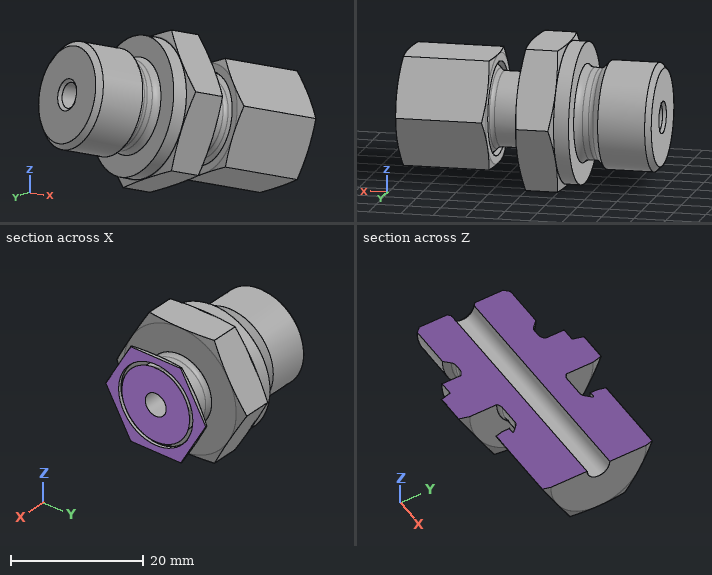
import cadquery as cq
import math

groove_start = 9.88
collar_start = 12.05
hex_start = 14.38
hex_end = 20.25
neck_end = 24.75
nut_start = 25.48
total_length = 39.5

thread_radius = 16.65 / 2
thread_chamfer = 0.83
groove_radius = 14.05 / 2
collar_radius = 21.8 / 2
neck_radius = 11.6 / 2
nut_opening_radius = 7.2
bore_radius = 4.0 / 2
bore_chamfer = 0.47

blend_angle = math.radians(45)
thread_blend_radius = 1.05
collar_blend_radius = 1.75
neck_hex_blend_radius = 1.35
neck_nut_blend_radius = 1.03

body_hex_flats = 22.0
nut_hex_flats = 17.0
hex_chamfer_angle = 15.0


def blend_length(blend_radius):
    """Axial length of a complete concave blend."""
    return blend_radius * math.sin(blend_angle)


def blend_point(x_tangent, radius, blend_radius, direction, share=1.0):
    """Point on a concave blend that leaves a cylinder at x_tangent towards direction (+1 or -1).

    share is the fraction of the blend angle already turned.
    """
    angle = share * blend_angle
    x = x_tangent + direction * blend_radius * math.sin(angle)
    return x, radius + blend_radius * (1 - math.cos(angle))


def blend_down(profile, x_tangent, radius, blend_radius):
    """Extend the profile to a blend and along it, down onto a cylinder."""
    start = blend_point(x_tangent, radius, blend_radius, -1)
    middle = blend_point(x_tangent, radius, blend_radius, -1, 0.5)
    return profile.lineTo(*start).threePointArc(middle, (x_tangent, radius))


def blend_up(profile, x_tangent, radius, blend_radius):
    """Extend the profile along a cylinder and up its blend."""
    middle = blend_point(x_tangent, radius, blend_radius, 1, 0.5)
    end = blend_point(x_tangent, radius, blend_radius, 1)
    return profile.lineTo(x_tangent, radius).threePointArc(middle, end)


def revolve_about_x(profile):
    return profile.close().revolve(360, (0, 0, 0), (1, 0, 0))


def cone_meeting_opening():
    """X where the 45 degree cone behind the neck reaches the nut opening."""
    cone_x, cone_radius = blend_point(neck_end, neck_radius, neck_nut_blend_radius, 1)
    return cone_x + nut_opening_radius - cone_radius


def turned_body():
    """Thread, undercut groove, sealing collar and neck, turned about X."""
    runout_end, runout_radius = blend_point(groove_start, groove_radius, thread_blend_radius, -1)
    thread_end = runout_end - (thread_radius - runout_radius)
    groove_end = collar_start - blend_length(collar_blend_radius)
    neck_start = hex_end + blend_length(neck_hex_blend_radius)
    cone_end = cone_meeting_opening()

    profile = (
        cq.Workplane("XY")
        .lineTo(0, thread_radius - thread_chamfer)
        .lineTo(thread_chamfer, thread_radius)
        .lineTo(thread_end, thread_radius)
    )
    profile = blend_down(profile, groove_start, groove_radius, thread_blend_radius)
    profile = blend_up(profile, groove_end, groove_radius, collar_blend_radius)
    profile = profile.lineTo(collar_start, collar_radius).lineTo(hex_end, collar_radius)
    profile = blend_down(profile, neck_start, neck_radius, neck_hex_blend_radius)
    profile = blend_up(profile, neck_end, neck_radius, neck_nut_blend_radius)
    return revolve_about_x(profile.lineTo(cone_end, nut_opening_radius).lineTo(cone_end, 0))


def chamfered_hexagon(x_start, x_end, flats):
    """Hexagonal prism with corners along Y and both ends turned to a shallow cone."""
    corner_radius = flats / math.sqrt(3)
    flat_radius = flats / 2
    chamfer_depth = (corner_radius - flat_radius) * math.tan(math.radians(hex_chamfer_angle))
    prism = (
        cq.Workplane("YZ", origin=(x_start, 0, 0))
        .polygon(6, 2 * corner_radius)
        .extrude(x_end - x_start)
    )
    envelope = revolve_about_x(
        cq.Workplane("XY")
        .moveTo(x_start, 0)
        .lineTo(x_start, flat_radius)
        .lineTo(x_start + chamfer_depth, corner_radius)
        .lineTo(x_end - chamfer_depth, corner_radius)
        .lineTo(x_end, flat_radius)
        .lineTo(x_end, 0)
    )
    return prism.intersect(envelope)


def nut():
    """Union nut with a round opening around the neck."""
    opening = (
        cq.Workplane("YZ", origin=(nut_start, 0, 0))
        .circle(nut_opening_radius)
        .extrude(cone_meeting_opening() - nut_start)
    )
    return chamfered_hexagon(nut_start, total_length, nut_hex_flats).cut(opening)


def bore():
    """Through bore, chamfered at the threaded end."""
    return revolve_about_x(
        cq.Workplane("XY")
        .lineTo(0, bore_radius + bore_chamfer)
        .lineTo(bore_chamfer, bore_radius)
        .lineTo(total_length, bore_radius)
        .lineTo(total_length, 0)
    )


result = (
    turned_body()
    .union(chamfered_hexagon(hex_start, hex_end, body_hex_flats))
    .union(nut())
    .cut(bore())
)